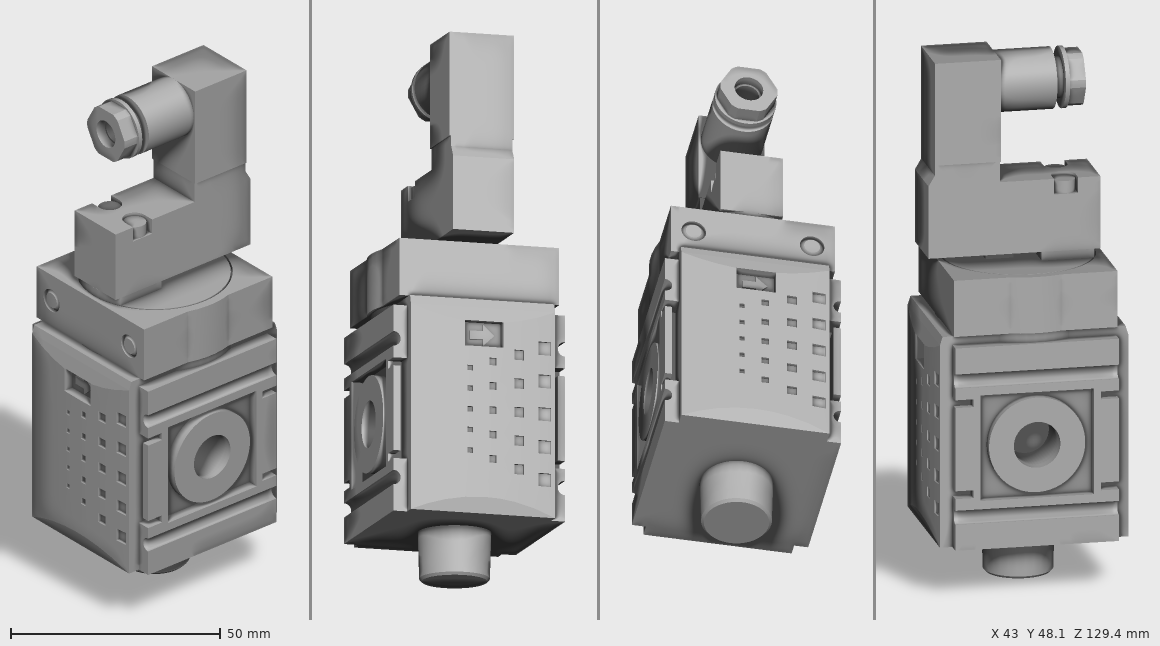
import cadquery as cq
import math

total_height = 129.4
body_bottom = 11.9
ear_top = 62.2
core_top = 64.3
clamp_bottom = 64.7
clamp_top = 78.7
valve_bottom = 80.9
valve_top = 98.9
plug_bottom = 104.0
body_mid = (body_bottom + ear_top) / 2

ear_width = 43.0
ear_depth = 40.0
core_width = 36.1
neck_diameter = 40.0

groove_width = 3.5
groove_depth = 1.8
groove_offset = 17.0

clip_height = 24.6
clip_reach = 4.4
tab_height = 20.7
tab_thickness = 1.8
port_recess_depth = 2.7
port_recess_width = 27.7
port_recess_height = 26.3
port_boss_diameter = 23.5
port_diameter = 11.4
port_depth = 13.0

cover_depth = 48.1
crown_rise = 1.0
crown_slope_height = 3.9
cover_top_setback = 0.6

window_width = 9.7
window_top = 58.7
window_bottom = 52.5
window_depth = 2.5
arrow_relief = 0.5
arrow_tail_length = 3.2
arrow_tail_width = 2.1
arrow_head_length = 2.8
arrow_head_width = 5.2
arrow_tail_x = -3.0

dimple_depth = 0.8
dimples_per_column = 5
dimple_columns = [
    (-3.5, 1.3, 5.0),
    (2.2, 1.8, 6.0),
    (8.8, 2.5, 7.0),
    (15.4, 3.2, 8.0),
]

knob_top_diameter = 17.6
knob_bottom_diameter = 17.0
knob_chamfer = 0.6

clamp_bulge_diameter = 41.9
disc_bore_diameter = 37.4
disc_diameter = 36.5
disc_gap_depth = 1.3
pin_hole_diameter = 6.0
pin_tip_diameter = 3.9
pin_hole_depth = 1.0
pin_spacing = 28.9
pin_height = 71.7

valve_width = 15.3
valve_front = -18.5
valve_back = 23.5
plug_width = 16.0
plug_back = 22.0
plug_front = 6.0
plug_overhang = 0.1
back_chamfer_height = 2.6

front_foot_diameter = 37.1
front_foot_width = 15.0
front_foot_end = -4.1
back_foot_width = 6.9
back_foot_start = 1.8
back_foot_end = 8.7

screw_slot_width = 6.0
screw_slot_depth = 3.9
screw_head_diameter = 5.5
screw_head_sink = 0.8
screw_x = 4.7
screw_y = -10.1

gland_diameter = 15.0
gland_end = -8.0
gland_neck_diameter = 10.0
gland_flange_start = -10.1
gland_nut_start = -11.1
gland_nut_end = -15.1
nut_flats = 13.0
nut_corner_diameter = 14.0
cable_hole_diameter = 7.0
cable_hole_depth = 2.6
cable_core_diameter = 6.0
cable_core_depth = 7.8


def box(x_range, y_range, z_range):
    """Axis-aligned block between the given limits."""
    sizes = [high - low for low, high in (x_range, y_range, z_range)]
    corner = (x_range[0], y_range[0], z_range[0])
    return cq.Workplane("XY").box(*sizes, centered=False).translate(corner)


def centered(size, middle=0.0):
    """Limits of a span of the given size around a middle."""
    return middle - size / 2, middle + size / 2


def rod_z(diameter, bottom, top):
    """Upright cylinder on the Z axis."""
    return cq.Workplane("XY").workplane(offset=bottom).circle(diameter / 2).extrude(top - bottom)


def both_sides(shape):
    """A shape together with its mirror image across the YZ plane."""
    return shape.union(shape.mirror("YZ"))


def ear_cuts():
    """Everything removed from the ear on the -X side."""
    face = -ear_width / 2
    floor = face + port_recess_depth
    groove_radius = groove_width / 2
    groove_center = face + groove_depth - groove_radius
    core_side = -core_width / 2
    cuts = cq.Workplane("XY")

    for z in (body_mid - groove_offset, body_mid + groove_offset):
        mouth = box((face, groove_center), centered(ear_depth), centered(groove_width, z))
        root = (
            cq.Workplane("XZ", origin=(groove_center, ear_depth / 2, z))
            .circle(groove_radius)
            .extrude(ear_depth)
        )
        cuts = cuts.union(mouth).union(root)

    for y in (-1, 1):
        y_range = sorted((y * ear_depth / 2, y * (ear_depth / 2 - clip_reach)))
        slot = box((face, core_side), y_range, centered(clip_height, body_mid))
        tab = box((face, face + tab_thickness), y_range, centered(tab_height, body_mid))
        cuts = cuts.union(slot.cut(tab))

    recess = box(
        (face, floor), centered(port_recess_width), centered(port_recess_height, body_mid)
    )
    boss = (
        cq.Workplane("YZ", origin=(face, 0, body_mid))
        .circle(port_boss_diameter / 2)
        .extrude(port_recess_depth)
    )
    return cuts.union(recess.cut(boss))


def port():
    """Blind port bore on the -X side."""
    plane = cq.Workplane("YZ", origin=(-ear_width / 2, 0, body_mid))
    return plane.circle(port_diameter / 2).extrude(port_depth)


def body():
    ears = box(centered(ear_width), centered(ear_depth), (body_bottom, ear_top))
    core = box(centered(core_width), centered(ear_depth), (body_bottom, core_top))
    neck = rod_z(neck_diameter, ear_top, clamp_bottom)
    solid = ears.cut(both_sides(ear_cuts())).union(core).union(neck)
    return solid.cut(both_sides(port()))


def flow_arrow(floor_y):
    """Raised arrow on the window floor, pointing to +X."""
    z = (window_top + window_bottom) / 2
    head_x = arrow_tail_x + arrow_tail_length
    upper_half = [
        (arrow_tail_x, arrow_tail_width / 2),
        (head_x, arrow_tail_width / 2),
        (head_x, arrow_head_width / 2),
    ]
    lower_half = [(x, -height) for x, height in reversed(upper_half)]
    tip = (head_x + arrow_head_length, 0)
    return (
        cq.Workplane("XZ", origin=(0, floor_y, z))
        .polyline(upper_half + [tip] + lower_half)
        .close()
        .extrude(arrow_relief)
    )


def cover():
    """Crowned cover on the -Y side, with flow window and dimples."""
    crown = -cover_depth / 2
    edge = crown + crown_rise
    root = -ear_depth / 2
    half_width = core_width / 2
    plan = (
        cq.Workplane("XY", origin=(0, 0, body_bottom))
        .moveTo(-half_width, root)
        .lineTo(-half_width, edge)
        .threePointArc((0, crown), (half_width, edge))
        .lineTo(half_width, root)
        .close()
        .extrude(core_top - body_bottom)
    )
    profile = (
        cq.Workplane("YZ", origin=(-half_width, 0, 0))
        .polyline([
            (root, body_bottom),
            (edge, body_bottom),
            (crown, body_bottom + crown_slope_height),
            (crown, ear_top - crown_slope_height),
            (edge, ear_top),
            (edge + cover_top_setback, core_top),
            (root, core_top),
        ])
        .close()
        .extrude(core_width)
    )
    shell = plan.intersect(profile)

    floor_y = crown + window_depth
    window = box(centered(window_width), (crown, floor_y), (window_bottom, window_top))
    shell = shell.cut(window).union(flow_arrow(floor_y))

    crown_radius = (half_width**2 + crown_rise**2) / (2 * crown_rise)
    for x, side, spacing in dimple_columns:
        surface_y = crown + crown_radius - math.sqrt(crown_radius**2 - x**2)
        for row in range(dimples_per_column):
            z = body_mid + (row - (dimples_per_column - 1) / 2) * spacing
            y_range = (crown, surface_y + dimple_depth)
            shell = shell.cut(box(centered(side, x), y_range, centered(side, z)))
    return shell


def covers():
    front = cover()
    return front.union(front.rotate((0, 0, 0), (0, 0, 1), 180))


def knob():
    """Slightly tapered drain knob below the body."""
    top_radius = knob_top_diameter / 2
    bottom_radius = knob_bottom_diameter / 2
    return (
        cq.Workplane("XZ")
        .polyline([
            (0, 0),
            (bottom_radius - knob_chamfer, 0),
            (bottom_radius, knob_chamfer),
            (top_radius, body_bottom),
            (0, body_bottom),
        ])
        .close()
        .revolve(360, (0, 0, 0), (0, 1, 0))
    )


def pin_gap(x):
    """Ring-shaped gap around a conical pin that ends flush with the -Y face."""
    face = -ear_depth / 2
    hole = (
        cq.Workplane("XZ", origin=(x, face + pin_hole_depth, pin_height))
        .circle(pin_hole_diameter / 2)
        .extrude(pin_hole_depth)
    )
    pin = (
        cq.Workplane("XZ", origin=(x, face + pin_hole_depth, pin_height))
        .circle(pin_hole_diameter / 2)
        .workplane(offset=pin_hole_depth)
        .circle(pin_tip_diameter / 2)
        .loft()
    )
    return hole.cut(pin)


def clamp_block():
    z_range = (clamp_bottom, clamp_top)
    block = box(centered(ear_depth), centered(ear_depth), z_range)
    bulge = rod_z(clamp_bulge_diameter, *z_range)
    bulge = bulge.intersect(box(centered(clamp_bulge_diameter), centered(ear_depth), z_range))
    block = block.union(bulge)
    gap_bottom = clamp_top - disc_gap_depth
    disc_gap = rod_z(disc_bore_diameter, gap_bottom, clamp_top)
    disc_gap = disc_gap.cut(rod_z(disc_diameter, gap_bottom, clamp_top))
    block = block.cut(disc_gap)
    for x in centered(pin_spacing):
        block = block.cut(pin_gap(x))
    return block


def valve_feet():
    """Two pads that carry the valve on the disc."""
    z_range = (clamp_top, valve_bottom)
    front = box(centered(front_foot_width), (-front_foot_diameter / 2, front_foot_end), z_range)
    front = front.intersect(rod_z(front_foot_diameter, *z_range))
    back = box(centered(back_foot_width), (back_foot_start, back_foot_end), z_range)
    return front.union(back)


def screw_slot():
    """Slot open to the -X side, around a sunk screw head."""
    floor = valve_top - screw_slot_depth
    plane = cq.Workplane("XY", origin=(-screw_x, screw_y, floor))
    root = plane.circle(screw_slot_width / 2).extrude(screw_slot_depth)
    mouth = box(
        (-valve_width / 2, -screw_x), centered(screw_slot_width, screw_y), (floor, valve_top)
    )
    head = plane.circle(screw_head_diameter / 2).extrude(screw_slot_depth - screw_head_sink)
    return root.union(mouth).cut(head)


def valve():
    housing = (
        cq.Workplane("YZ", origin=(-valve_width / 2, 0, 0))
        .polyline([
            (valve_front, valve_bottom),
            (valve_back, valve_bottom),
            (valve_back, valve_top),
            (plug_back, valve_top + back_chamfer_height),
            (plug_back, plug_bottom),
            (plug_front + plug_overhang, plug_bottom),
            (plug_front + plug_overhang, valve_top),
            (valve_front, valve_top),
        ])
        .close()
        .extrude(valve_width)
        .cut(both_sides(screw_slot()))
    )
    plug = box(centered(plug_width), (plug_front, plug_back), (plug_bottom, total_height))
    return housing.union(plug).union(valve_feet())


def gland():
    gland_z = total_height - gland_diameter / 2

    def plane(y):
        return cq.Workplane("XZ", origin=(0, y, gland_z))

    def rod(diameter, start, end):
        return plane(start).circle(diameter / 2).extrude(start - end)

    sleeve = rod(gland_diameter, plug_front, gland_end)
    neck = rod(gland_neck_diameter, gland_end, gland_flange_start)
    flange = rod(gland_diameter, gland_flange_start, gland_nut_start)
    hex_corner_diameter = nut_flats / math.cos(math.pi / 6)
    nut = plane(gland_nut_start).polygon(6, hex_corner_diameter).extrude(gland_nut_start - gland_nut_end)
    nut = nut.intersect(rod(nut_corner_diameter, gland_nut_start, gland_nut_end))
    cable_step = gland_nut_end + cable_hole_depth
    cable_hole = rod(cable_hole_diameter, cable_step, gland_nut_end)
    cable_core = rod(cable_core_diameter, gland_nut_end + cable_core_depth, cable_step)
    return sleeve.union(neck).union(flange).union(nut).cut(cable_hole).cut(cable_core)


result = (
    body()
    .union(covers())
    .union(knob())
    .union(clamp_block())
    .union(valve())
    .union(gland())
)